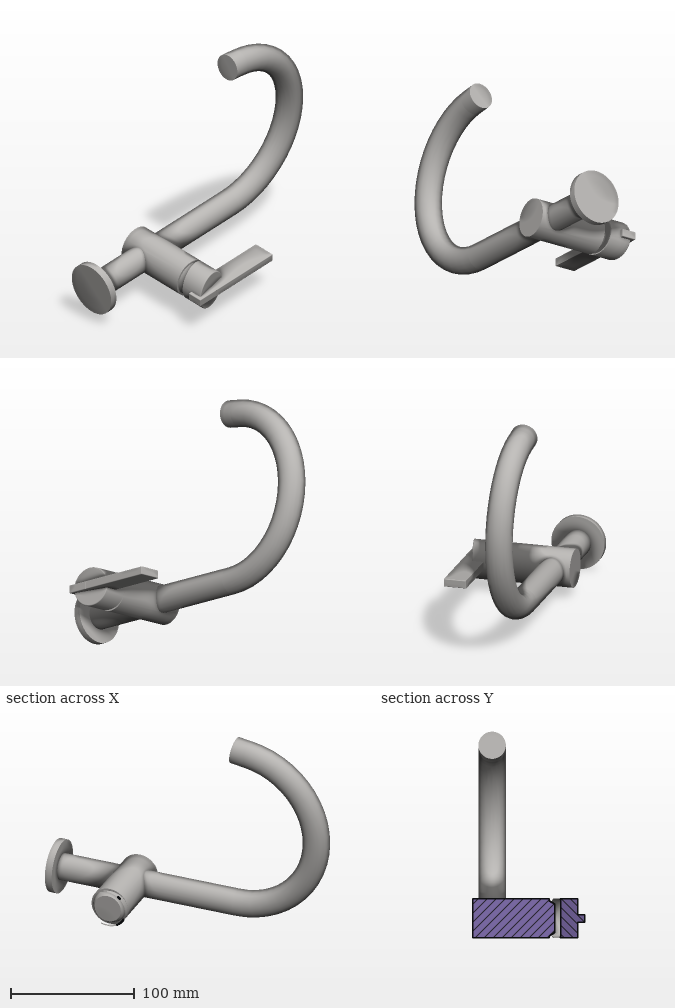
import cadquery as cq
import math

flange_radius = 22.25
flange_thickness = 6.0

pipe_radius = 11.1
spout_reach = 239.59
bend_radius = 69.34
outlet_rise_angle = 8.0
outlet_length = 12.0
straight_end_y = spout_reach - bend_radius - pipe_radius

body_y = 67.1
body_radius = 15.95
body_left_x = -16.0
body_right_x = 46.4

neck_length = 4.3
neck_root_radius = 14.1
neck_sphere_radius = 15.2

hub_tilt = 11.3
hub_length = 19.8
hub_edge_fillet = 0.7
hub_bore_radius = 15.1
hub_bore_end_x = 55.0

lever_right_x = 75.29
lever_left_x = 56.4
tail_left_x = 62.15
lever_front_y = 48.5
lever_back_y = 132.3
lever_thickness = 6.6
lever_edge_fillet = 0.6


def cylinder_along_x(radius, start_x, end_x):
    """Cylinder on the valve body axis."""
    return (
        cq.Workplane("YZ", origin=(start_x, body_y, 0))
        .circle(radius)
        .extrude(end_x - start_x)
    )


def make_spout():
    """Pipe swept along the straight run, the bend and the outlet."""
    rise = math.radians(outlet_rise_angle)
    bend_end_y = straight_end_y + bend_radius * math.sin(rise)
    bend_end_z = bend_radius * (1 + math.cos(rise))
    outlet_y = bend_end_y - outlet_length * math.cos(rise)
    outlet_z = bend_end_z + outlet_length * math.sin(rise)
    path = (
        cq.Workplane("YZ")
        .moveTo(0, 0)
        .lineTo(straight_end_y, 0)
        .threePointArc((straight_end_y + bend_radius, bend_radius), (bend_end_y, bend_end_z))
        .lineTo(outlet_y, outlet_z)
    )
    return cq.Workplane("XZ").circle(pipe_radius).sweep(path)


def make_neck():
    """Spherical zone centred on the body axis, narrowing away from the body end."""
    centre_depth = math.sqrt(neck_sphere_radius**2 - neck_root_radius**2)

    def zone_radius(distance):
        return math.sqrt(neck_sphere_radius**2 - (centre_depth + distance) ** 2)

    return (
        cq.Workplane("XY", origin=(body_right_x, body_y, 0))
        .moveTo(0, 0)
        .lineTo(0, -neck_root_radius)
        .threePointArc(
            (neck_length / 2, -zone_radius(neck_length / 2)),
            (neck_length, -zone_radius(neck_length)),
        )
        .lineTo(neck_length, 0)
        .close()
        .revolve(360, (0, 0, 0), (1, 0, 0))
    )


def make_faucet():
    flange = cq.Workplane("XZ").circle(flange_radius).extrude(-flange_thickness)
    valve_body = cylinder_along_x(body_radius, body_left_x, body_right_x)
    return flange.union(make_spout()).union(valve_body).union(make_neck())


def make_hub():
    """Slanted cylinder whose rear corner touches the rim of the valve body."""
    slant = 2 * body_radius * math.tan(math.radians(hub_tilt))
    rear_y = body_y + body_radius
    front_y = body_y - body_radius
    slanted_prism = (
        cq.Workplane("XY", origin=(0, 0, -body_radius))
        .moveTo(body_right_x, rear_y)
        .lineTo(body_right_x + hub_length, rear_y)
        .lineTo(body_right_x + hub_length + slant, front_y)
        .lineTo(body_right_x + slant, front_y)
        .close()
        .extrude(2 * body_radius)
    )
    cylinder = cylinder_along_x(body_radius, body_right_x, body_right_x + hub_length + slant)
    hub = cylinder.intersect(slanted_prism).faces(">X").edges().fillet(hub_edge_fillet)
    return hub.cut(cylinder_along_x(hub_bore_radius, body_right_x, hub_bore_end_x))


def lever_bar(left_x, front_y, back_y, rounded_faces):
    """Bar ending at the lever's right side, with the edges of the chosen faces rounded."""
    return (
        cq.Workplane("XY", origin=(left_x, front_y, 0))
        .box(lever_right_x - left_x, back_y - front_y, lever_thickness, centered=(False, False, True))
        .faces(rounded_faces)
        .edges()
        .fillet(lever_edge_fillet)
    )


def make_lever():
    main_bar = lever_bar(lever_left_x, body_y, lever_back_y, ">X or >Y")
    tail = lever_bar(tail_left_x, lever_front_y, body_y, ">X or <X or <Y")
    return main_bar.union(tail)


def make_handle():
    return make_hub().union(make_lever())


faucet = make_faucet()
handle = make_handle()
result = cq.Compound.makeCompound([faucet.solids().val(), handle.solids().val()])